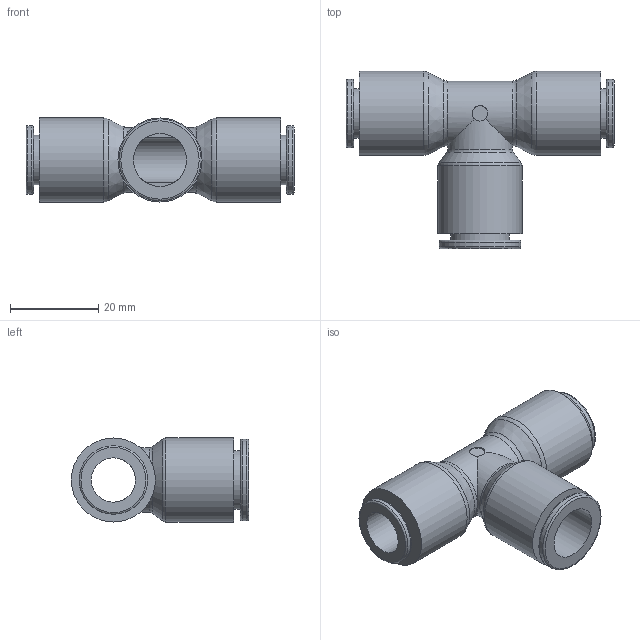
import cadquery as cq
import math

BODY_RADIUS = 9.5
HUB_RADIUS = 7.3

RUN_BORE_RADIUS = 5.0
RUN_LENGTH = 60.59
RUN_TIP = RUN_LENGTH / 2
RUN_BODY_END = 27.3
RUN_SHOULDER = (7.27, 12.73)
RUN_BLEND_RADIUS = 2.4
RUN_NECK_RADIUS = 5.6
RUN_FLANGE_RADIUS = 7.75
RUN_FLANGE_THICKNESS = 1.7

BRANCH_BORE_RADIUS = 6.0
OVERALL_DEPTH = 40.06
BRANCH_TIP = OVERALL_DEPTH - BODY_RADIUS
BRANCH_BODY_END = 27.2
BRANCH_SHOULDER = (8.08, 11.85)
BRANCH_BLEND_RADIUS = 1.2
BRANCH_NECK_RADIUS = 6.65
BRANCH_FLANGE_RADIUS = 9.25
BRANCH_FLANGE_THICKNESS = 1.85

FLANGE_EDGE_ROUND = 0.4

RECESS_RADIUS = 1.75
RECESS_FLOOR_Z = 7.0


def shoulder_angle(shoulder, blend_radius):
    """Slope of a cone joined to both cylinders by equal tangent arcs, by bisection."""
    start, end = shoulder
    low, high = 0.0, math.pi / 2
    rise = BODY_RADIUS - HUB_RADIUS
    for _ in range(60):
        angle = (low + high) / 2
        cone_length = end - start - 2 * blend_radius * math.tan(angle / 2)
        if cone_length * math.tan(angle) < rise:
            low = angle
        else:
            high = angle
    return angle


def arm(shoulder, blend, body_end, neck_radius, flange_radius, flange_thickness, tip):
    """Solid arm of revolution pointing along +X from the centre of the tee."""
    start, end = shoulder
    angle = shoulder_angle(shoulder, blend)

    def blend_point(turn):
        """Axial and radial travel along a blend arc that has turned by the given angle."""
        return blend * math.sin(turn), blend * (1 - math.cos(turn))

    mid_x, mid_r = blend_point(angle / 2)
    full_x, full_r = blend_point(angle)
    flange_start = tip - flange_thickness
    profile = (
        cq.Workplane("XY")
        .lineTo(0, HUB_RADIUS)
        .lineTo(start, HUB_RADIUS)
        .threePointArc((start + mid_x, HUB_RADIUS + mid_r), (start + full_x, HUB_RADIUS + full_r))
        .lineTo(end - full_x, BODY_RADIUS - full_r)
        .threePointArc((end - mid_x, BODY_RADIUS - mid_r), (end, BODY_RADIUS))
        .lineTo(body_end, BODY_RADIUS)
        .lineTo(body_end, neck_radius)
        .lineTo(flange_start, neck_radius)
        .lineTo(flange_start, 0)
        .close()
    )
    body = profile.revolve(360, (0, 0, 0), (1, 0, 0))
    flange = (
        cq.Workplane("YZ", origin=(flange_start, 0, 0))
        .circle(flange_radius)
        .extrude(flange_thickness)
        .edges()
        .fillet(FLANGE_EDGE_ROUND)
    )
    return body.union(flange)


def run_arm():
    return arm(
        RUN_SHOULDER, RUN_BLEND_RADIUS, RUN_BODY_END,
        RUN_NECK_RADIUS, RUN_FLANGE_RADIUS, RUN_FLANGE_THICKNESS, RUN_TIP,
    )


def branch_arm():
    branch = arm(
        BRANCH_SHOULDER, BRANCH_BLEND_RADIUS, BRANCH_BODY_END,
        BRANCH_NECK_RADIUS, BRANCH_FLANGE_RADIUS, BRANCH_FLANGE_THICKNESS, BRANCH_TIP,
    )
    return branch.rotate((0, 0, 0), (0, 0, 1), -90)


def tee_body():
    right_arm = run_arm()
    left_arm = right_arm.mirror("YZ")
    return right_arm.union(left_arm).union(branch_arm())


def run_bore():
    return cq.Workplane("YZ").circle(RUN_BORE_RADIUS).extrude(RUN_TIP, both=True)


def branch_bore():
    """Bore from the branch tip to a flat end at the run axis."""
    return cq.Workplane("XZ").circle(BRANCH_BORE_RADIUS).extrude(BRANCH_TIP)


def marking_recess():
    cut_height = BODY_RADIUS - RECESS_FLOOR_Z
    return cq.Workplane("XY", origin=(0, 0, RECESS_FLOOR_Z)).circle(RECESS_RADIUS).extrude(cut_height)


result = tee_body().cut(run_bore()).cut(branch_bore()).cut(marking_recess())